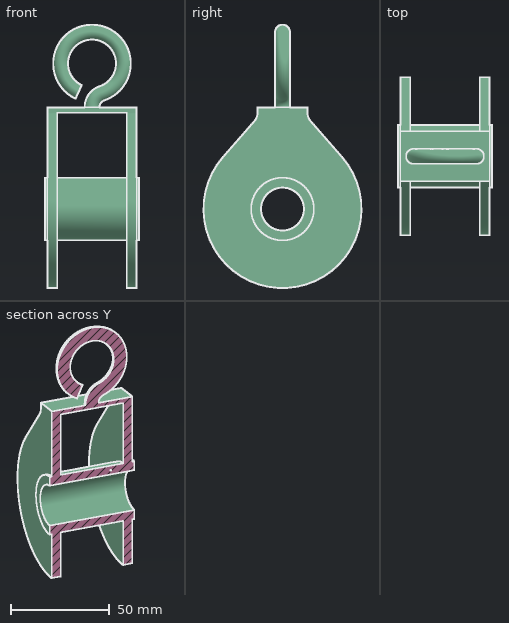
import cadquery as cq
import math


hub_length = 47.62
hub_diameter = 31.75
bore_diameter = 21.59

plate_gap = 34.92
plate_thickness = 5.16
plate_radius = 40.01
neck_width = 25.4
neck_fillet_radius = 6.35
bracket_top = 51.43
bridge_thickness = 2.8

overall_height = 133.27
wire_diameter = 7.62
eye_radius = 15.875
eye_opening_angle = 25.0

bracket_width = plate_gap + 2 * plate_thickness
bridge_bottom = bracket_top - bridge_thickness
eye_center_z = overall_height - plate_radius - eye_radius - wire_diameter / 2


def x_cylinder(diameter, length):
    """Cylinder along X, centred on the origin."""
    start = cq.Workplane("YZ", origin=(-length / 2, 0, 0))
    return start.circle(diameter / 2).extrude(length)


def make_side_plate(x_start):
    """Round plate whose flanks run tangentially into filleted neck corners."""
    neck_half = neck_width / 2
    fillet_y = neck_half + neck_fillet_radius
    fillet_z = bridge_bottom

    center_distance = math.hypot(fillet_y, fillet_z)
    flank_normal = math.atan2(fillet_z, fillet_y) - math.acos(
        (plate_radius + neck_fillet_radius) / center_distance
    )
    normal_y = math.cos(flank_normal)
    normal_z = math.sin(flank_normal)
    flank_low_y = plate_radius * normal_y
    flank_low_z = plate_radius * normal_z
    flank_high_y = fillet_y - neck_fillet_radius * normal_y
    flank_high_z = fillet_z - neck_fillet_radius * normal_z
    fillet_mid_y = fillet_y - neck_fillet_radius * math.cos(flank_normal / 2)
    fillet_mid_z = fillet_z - neck_fillet_radius * math.sin(flank_normal / 2)

    return (
        cq.Workplane("YZ", origin=(x_start, 0, 0))
        .moveTo(-neck_half, bracket_top)
        .lineTo(neck_half, bracket_top)
        .lineTo(neck_half, fillet_z)
        .threePointArc((fillet_mid_y, fillet_mid_z), (flank_high_y, flank_high_z))
        .lineTo(flank_low_y, flank_low_z)
        .threePointArc((0, -plate_radius), (-flank_low_y, flank_low_z))
        .lineTo(-flank_high_y, flank_high_z)
        .threePointArc((-fillet_mid_y, fillet_mid_z), (-neck_half, fillet_z))
        .close()
        .extrude(plate_thickness)
    )


def make_bridge():
    """Flat strip across the tops of the side plates."""
    base = cq.Workplane("XY", origin=(0, 0, bridge_bottom))
    return base.rect(bracket_width, neck_width).extrude(bridge_thickness)


def make_eye_hook():
    """Wire rising from the bridge, bending right, then curling back into an open eye."""
    eye_rise = eye_center_z - bracket_top
    bend_radius = (eye_rise**2 - eye_radius**2) / (2 * eye_radius)
    joint_angle = math.atan2(bend_radius, eye_rise)
    opening_angle = math.radians(eye_opening_angle)

    joint = (eye_radius * math.sin(joint_angle), eye_center_z - eye_radius * math.cos(joint_angle))
    bend_sweep = math.pi / 2 - joint_angle
    bend_mid = (
        bend_radius - bend_radius * math.cos(bend_sweep / 2),
        bracket_top + bend_radius * math.sin(bend_sweep / 2),
    )
    eye_top = (0, eye_center_z + eye_radius)
    eye_end = (-eye_radius * math.sin(opening_angle), eye_center_z - eye_radius * math.cos(opening_angle))

    path = (
        cq.Workplane("XZ")
        .moveTo(0, bracket_top)
        .threePointArc(bend_mid, joint)
        .threePointArc(eye_top, eye_end)
    )
    return cq.Workplane("XY", origin=(0, 0, bracket_top)).circle(wire_diameter / 2).sweep(path)


bracket = make_bridge()
for plate_start in (-bracket_width / 2, plate_gap / 2):
    bracket = bracket.union(make_side_plate(plate_start))

hub = x_cylinder(hub_diameter, hub_length)
bore = x_cylinder(bore_diameter, hub_length)

result = bracket.union(hub).cut(bore).union(make_eye_hook())